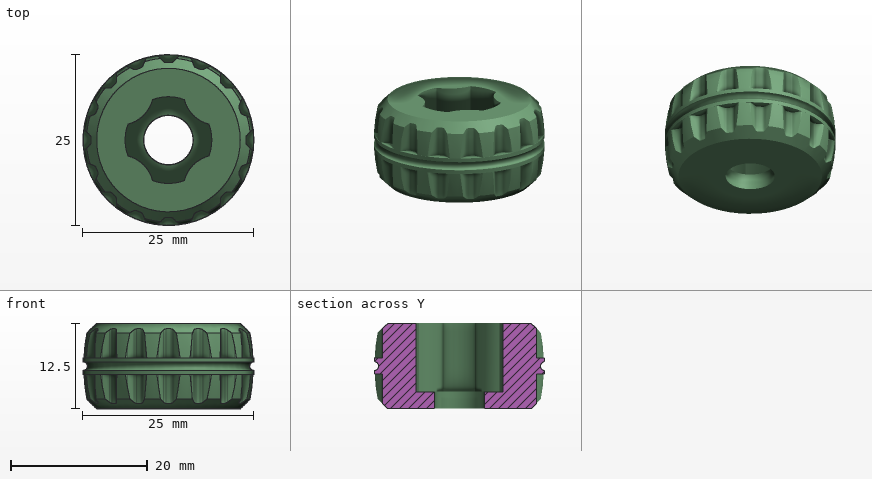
import cadquery as cq
import math

HEIGHT = 12.5
FLANGE_RADIUS = 12.5
FACE_RADIUS = 10.5
CROWN_RADIUS = FLANGE_RADIUS
CROWN_CURVATURE = 23.0
HALF_HEIGHT = HEIGHT / 2
CROWN_END_Z = 4.82

FLANGE_HALF_HEIGHT = 1.2
GROOVE_RADIUS = 0.62

FLUTE_COUNT = 16
FLUTE_FLOOR_RADIUS = 11.32
FLUTE_FLOOR_WIDTH = 1.1
FLUTE_FLOOR_FILLET = 0.5
FLUTE_EDGE_FILLET = 0.5
FLUTE_CUT_RADIUS = 14.0
EDGE_TOLERANCE = 0.01

SOCKET_RADIUS = 6.35
SOCKET_DEPTH = 10.0
SOCKET_CORNER_HALF_WIDTH = 2.32
SOCKET_WAIST_RADIUS = 5.13
BORE_DIAMETER = 7.2


def crown_radius_at(z):
    """Radius of the crowned grip surface at height z."""
    return CROWN_RADIUS - CROWN_CURVATURE + math.sqrt(CROWN_CURVATURE**2 - z**2)


def polar(radius, angle):
    """Point at the given radius, with the angle in degrees from +X."""
    return (radius * math.cos(math.radians(angle)), radius * math.sin(math.radians(angle)))


def make_body():
    """Turned body: crowned, chamfered grips either side of the grooved flange."""
    crown_mid_z = (FLANGE_HALF_HEIGHT + CROWN_END_Z) / 2
    crown_root = crown_radius_at(FLANGE_HALF_HEIGHT)
    crown_mid = crown_radius_at(crown_mid_z)
    crown_end = crown_radius_at(CROWN_END_Z)
    return (
        cq.Workplane("XZ")
        .moveTo(0, -HALF_HEIGHT)
        .lineTo(FACE_RADIUS, -HALF_HEIGHT)
        .lineTo(crown_end, -CROWN_END_Z)
        .threePointArc((crown_mid, -crown_mid_z), (crown_root, -FLANGE_HALF_HEIGHT))
        .lineTo(FLANGE_RADIUS, -FLANGE_HALF_HEIGHT)
        .lineTo(FLANGE_RADIUS, -GROOVE_RADIUS)
        .threePointArc((FLANGE_RADIUS - GROOVE_RADIUS, 0), (FLANGE_RADIUS, GROOVE_RADIUS))
        .lineTo(FLANGE_RADIUS, FLANGE_HALF_HEIGHT)
        .lineTo(crown_root, FLANGE_HALF_HEIGHT)
        .threePointArc((crown_mid, crown_mid_z), (crown_end, CROWN_END_Z))
        .lineTo(FACE_RADIUS, HALF_HEIGHT)
        .lineTo(0, HALF_HEIGHT)
        .close()
        .revolve(360, (0, 0, 0), (0, 1, 0))
    )


def vertical_edge_at(x, y):
    """Selector for the upright edge standing at (x, y)."""
    low = (x - EDGE_TOLERANCE, y - EDGE_TOLERANCE, -HEIGHT)
    high = (x + EDGE_TOLERANCE, y + EDGE_TOLERANCE, HEIGHT)
    return cq.selectors.BoxSelector(low, high)


def make_flute_cutter():
    """Trapezoidal flute of the upper grip, at +X, with 45 degree flanks, rounded at its corners."""
    half_floor = FLUTE_FLOOR_WIDTH / 2
    flank_offset = FLUTE_FLOOR_RADIUS - half_floor
    edge_x = (flank_offset + math.sqrt(2 * CROWN_RADIUS**2 - flank_offset**2)) / 2
    edge_y = edge_x - flank_offset
    half_pitch = 180 / FLUTE_COUNT
    pitch_end = polar(CROWN_RADIUS, half_pitch)
    mid_angle = (math.degrees(math.atan2(edge_y, edge_x)) + half_pitch) / 2
    arc_mid = polar(CROWN_RADIUS, mid_angle)
    outer_end = polar(FLUTE_CUT_RADIUS, half_pitch)
    cutter = (
        cq.Workplane("XY")
        .workplane(offset=FLANGE_HALF_HEIGHT)
        .moveTo(FLUTE_FLOOR_RADIUS, -half_floor)
        .lineTo(FLUTE_FLOOR_RADIUS, half_floor)
        .lineTo(edge_x, edge_y)
        .threePointArc(arc_mid, pitch_end)
        .lineTo(*outer_end)
        .lineTo(outer_end[0], -outer_end[1])
        .lineTo(pitch_end[0], -pitch_end[1])
        .threePointArc((arc_mid[0], -arc_mid[1]), (edge_x, -edge_y))
        .close()
        .extrude(HALF_HEIGHT - FLANGE_HALF_HEIGHT)
    )
    for side in (-1, 1):
        floor_corner = vertical_edge_at(FLUTE_FLOOR_RADIUS, side * half_floor)
        cutter = cutter.edges(floor_corner).fillet(FLUTE_FLOOR_FILLET)
        outer_corner = vertical_edge_at(edge_x, side * edge_y)
        cutter = cutter.edges(outer_corner).fillet(FLUTE_EDGE_FILLET)
    return cutter


def cut_flutes(body):
    """Cut the ring of flutes into both grips, stopping at the flange."""
    upper_cutter = make_flute_cutter()
    lower_cutter = upper_cutter.mirror("XY")
    for i in range(FLUTE_COUNT):
        angle = i * 360 / FLUTE_COUNT
        for cutter in (upper_cutter, lower_cutter):
            body = body.cut(cutter.rotate((0, 0, 0), (0, 0, 1), angle))
    return body


def make_socket():
    """Cross-shaped socket: four outer arcs joined by four inward bulges."""
    half_lobe = math.degrees(math.asin(SOCKET_CORNER_HALF_WIDTH / SOCKET_RADIUS))
    outline = (
        cq.Workplane("XY")
        .workplane(offset=HALF_HEIGHT - SOCKET_DEPTH)
        .moveTo(*polar(SOCKET_RADIUS, -half_lobe))
    )
    for angle in (0, 90, 180, 270):
        lobe_end = polar(SOCKET_RADIUS, angle + half_lobe)
        next_lobe = polar(SOCKET_RADIUS, angle + 90 - half_lobe)
        outline = outline.threePointArc(polar(SOCKET_RADIUS, angle), lobe_end)
        outline = outline.threePointArc(polar(SOCKET_WAIST_RADIUS, angle + 45), next_lobe)
    return outline.close().extrude(SOCKET_DEPTH)


def make_bore():
    bore = cq.Workplane("XY").workplane(offset=-HALF_HEIGHT)
    return bore.circle(BORE_DIAMETER / 2).extrude(HEIGHT)


body = cut_flutes(make_body())
result = body.cut(make_socket()).cut(make_bore())